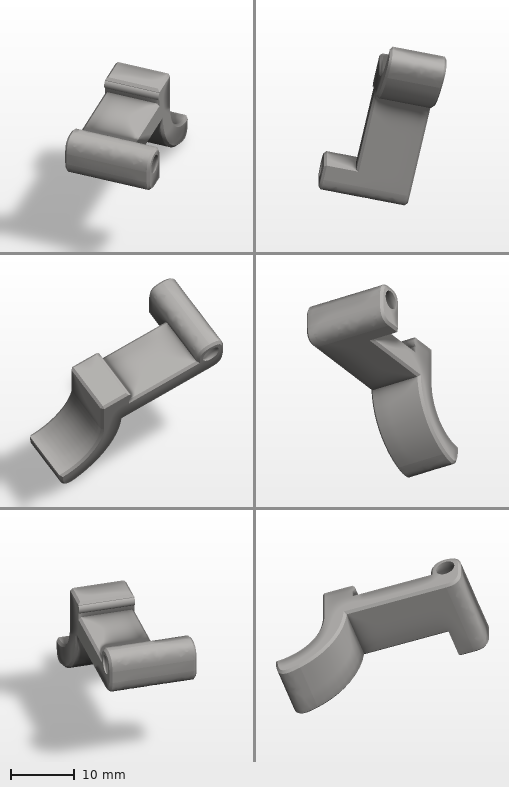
import cadquery as cq
import math


body_width = 9.1
barrel_width = 14.2
edge_chamfer = 0.4

barrel_depth = 5.0
barrel_height = 6.95
corner_size = barrel_depth / 2
corner_fullness = 0.68
tip_fullness = 0.77
bore_diameter = 3.0
bore_height = barrel_height - corner_size
arm_thickness = 4.08

post_front = 17.83
post_back = 22.9
post_height = 6.7
bead_radius = 0.8
bead_projection = 0.43
bead_y = post_front - bead_projection + bead_radius
bead_z = post_height - edge_chamfer - bead_radius

hook_end = 30.65
hook_inner_radius = 7.65
hook_inner_end_z = -7.15
hook_outer_radius = 12.07
hook_outer_center_y = 30.95
hook_outer_center_z = 1.05
hook_tip_start_y = 26.6


def outer_arc_z(y):
    """Height of the outer hook arc at the given Y."""
    offset = y - hook_outer_center_y
    return hook_outer_center_z - math.sqrt(hook_outer_radius**2 - offset**2)


def outer_arc_y(z):
    """Y of the outer hook arc at the given height."""
    offset = z - hook_outer_center_z
    return hook_outer_center_y - math.sqrt(hook_outer_radius**2 - offset**2)


def toward(start, corner, fullness):
    """Control point part of the way from a corner's start to its sharp apex."""
    return tuple(s + fullness * (c - s) for s, c in zip(start, corner))


def round_corner(sketch, start, corner, end, fullness=corner_fullness):
    """Add a smooth corner, tangent to both sides of the sharp apex."""
    controls = [toward(point, corner, fullness) for point in (start, end)]
    return sketch.bezier([start, *controls, end])


def barrel_front(sketch):
    """Barrel outline from its +Y face over the top and down to the underside."""
    sketch = sketch.lineTo(barrel_depth, bore_height)
    sketch = round_corner(
        sketch,
        (barrel_depth, bore_height),
        (barrel_depth, barrel_height),
        (corner_size, barrel_height),
    )
    sketch = round_corner(sketch, (corner_size, barrel_height), (0, barrel_height), (0, bore_height))
    sketch = sketch.lineTo(0, corner_size)
    return round_corner(sketch, (0, corner_size), (0, 0), (corner_size, 0))


def make_body():
    """Barrel end, arm and hook as one chamfered profile."""
    tip_start = (hook_tip_start_y, outer_arc_z(hook_tip_start_y))
    slope = (hook_outer_center_y - tip_start[0]) / (tip_start[1] - hook_outer_center_z)
    tip_corner = (hook_end, tip_start[1] + slope * (hook_end - tip_start[0]))
    tip_end = (hook_end, hook_inner_end_z)
    outer_middle_z = tip_start[1] / 2

    sketch = cq.Workplane("YZ").moveTo(barrel_depth, arm_thickness)
    sketch = barrel_front(sketch)
    sketch = sketch.lineTo(outer_arc_y(0), 0)
    sketch = sketch.threePointArc((outer_arc_y(outer_middle_z), outer_middle_z), tip_start)
    sketch = round_corner(sketch, tip_start, tip_corner, tip_end, tip_fullness)
    sketch = sketch.radiusArc((post_back, 0), hook_inner_radius)
    sketch = sketch.lineTo(post_back, arm_thickness)
    body = sketch.close().extrude(barrel_width)

    beside_barrel = cq.Workplane("XY").box(
        barrel_width - body_width, hook_end - barrel_depth, 2 * hook_end, centered=(False, False, True)
    )
    body = body.cut(beside_barrel.translate((body_width, barrel_depth, 0)))

    body = body.faces("<X or >X").edges().chamfer(edge_chamfer)
    return body.faces("|X").faces(">X[-2]").edges("not(<Y)").chamfer(edge_chamfer)


def make_post():
    """Upright post: chamfered around its top and down its two back edges."""
    base = arm_thickness - edge_chamfer
    post = cq.Workplane("XY").box(
        body_width, post_back - post_front, post_height - base, centered=False
    )
    post = post.translate((0, post_front, base))
    return post.edges(">Z or (|Z and >Y)").chamfer(edge_chamfer)


def make_cylinder(y, z, radius, length):
    """Cylinder along X, starting at the -X face."""
    return cq.Workplane("YZ").center(y, z).circle(radius).extrude(length)


bead = make_cylinder(bead_y, bead_z, bead_radius, body_width)
bore = make_cylinder(corner_size, bore_height, bore_diameter / 2, barrel_width)

result = make_body().union(make_post()).union(bead).cut(bore)